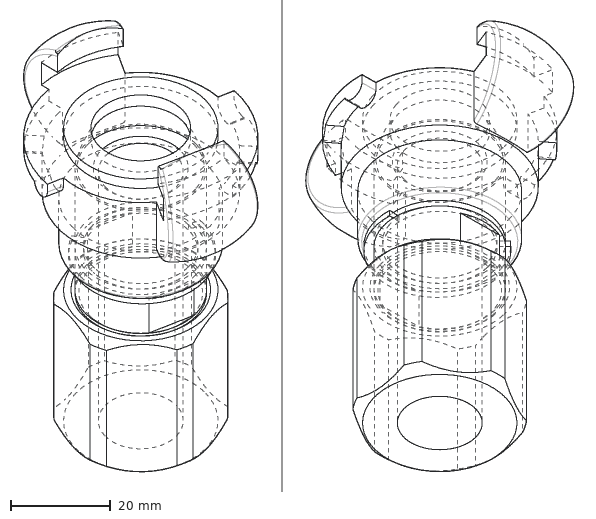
import cadquery as cq
import math

NUT_TOP = 35.0
FLAT_TOP = 44.0
HEAD_BOTTOM = 46.75
HEAD_WIDE_BOTTOM = 60.9
STEM_TOP = 67.6
FLANGE_TOP = 75.7
BOSS_TOP = 78.2
CLAW_TOP = 87.7

BORE_D = 17.0
BORE_MOUTH_D = 19.0
STEM_D = 26.4
FLAT_HALF_WIDTH = 12.1
NUT_ACROSS_FLATS = 32.0
NUT_TURNED_D = 35.0
NUT_END_D = 31.0
NUT_MOUTH_D = 28.0

RING_THICKNESS = 1.4
RING_BOTTOM = HEAD_BOTTOM - RING_THICKNESS
GROOVE_D = 23.0
RING_D = 29.5
RING_OFFSET = 1.3
OPENING_DIRECTION = 160.0
OPENING_HALF_ANGLE = 67.0

NECK_D = 32.9
NECK_EDGE_RADIUS = 0.8
FLANGE_D = 39.55
SHOULDER_DROP = 1.1
BOSS_D = 31.0
LIP_BORE_D = 20.0
LIP_BOTTOM = 75.25
CAVITY_D = 25.5

LUG_D = 47.0
LUG_THICKNESS = 3.1
BUMP_RADIUS = 2.6
LUG_DROP = 4.7
BUMP_ANGLES = (0.0, 35.0)

CLAW_REACH = 31.5
CLAW_RADIUS = 13.4
CLAW_CROWN_RADIUS = 21.9
CLAW_TAPER = 17.0
CLAW_HALF_WIDTH_AT_AXIS = 1.7
CLAW_EDGE_RADIUS = 0.9
CLAW_TIP_INNER_RADIUS = 21.1
CLAW_TIP_BOTTOM = 81.65
CLAW_SLOT_RADIUS = 25.5
TIP_ARCH_HALF_WIDTH = 7.5
TIP_ARCH_SIDE_Z = 86.4


def disk(diameter, bottom, top):
    return cq.Workplane("XY").workplane(offset=bottom).circle(diameter / 2).extrude(top - bottom)


def cone(bottom_diameter, top_diameter, bottom, top):
    return cq.Workplane(
        cq.Solid.makeCone(
            bottom_diameter / 2, top_diameter / 2, top - bottom, cq.Vector(0, 0, bottom)
        )
    )


def make_nut_blank():
    """Hexagon with turned corners and a bevel at both ends."""
    hexagon_d = NUT_ACROSS_FLATS / math.cos(math.pi / 6)
    hexagon = cq.Workplane("XY").polygon(6, hexagon_d).extrude(NUT_TOP)
    bevel = (NUT_TURNED_D - NUT_END_D) / 2
    turned = disk(NUT_TURNED_D, 0, NUT_TOP).edges().chamfer(bevel)
    return hexagon.intersect(turned)


def make_foot_recess():
    """Conical ring-shaped recess between the stem foot and the nut."""
    depth = (NUT_MOUTH_D - STEM_D) / 2
    mouth = cone(STEM_D, NUT_MOUTH_D, NUT_TOP - depth, NUT_TOP)
    stem_foot = cone(STEM_D - 2 * depth, STEM_D, NUT_TOP - depth, NUT_TOP)
    return mouth.cut(stem_foot)


def make_stem():
    """Turned stem with two wrench flats, a ring groove and the nut at its foot."""
    shaft = disk(STEM_D, 0, STEM_TOP)
    flat_depth = STEM_D / 2 - FLAT_HALF_WIDTH
    for side in (-1, 1):
        shaft = shaft.cut(
            cq.Workplane("XY")
            .box(flat_depth, STEM_D, FLAT_TOP - NUT_TOP, centered=(True, True, False))
            .translate((side * (FLAT_HALF_WIDTH + flat_depth / 2), 0, NUT_TOP))
        )
    groove = disk(STEM_D, RING_BOTTOM, HEAD_BOTTOM).cut(disk(GROOVE_D, RING_BOTTOM, HEAD_BOTTOM))
    stem = shaft.cut(groove).union(make_nut_blank()).cut(make_foot_recess())
    bore = disk(BORE_D, 0, STEM_TOP)
    mouth_depth = (BORE_MOUTH_D - BORE_D) / 2
    bore_mouth = cone(BORE_D, BORE_MOUTH_D, STEM_TOP - mouth_depth, STEM_TOP)
    return stem.cut(bore).cut(bore_mouth)


def make_retaining_ring():
    """Open ring with an eccentric rim."""
    direction = math.radians(OPENING_DIRECTION)
    rim_center = (-RING_OFFSET * math.cos(direction), -RING_OFFSET * math.sin(direction), 0)
    rim = disk(RING_D, RING_BOTTOM, HEAD_BOTTOM).translate(rim_center)
    half_angle = math.radians(OPENING_HALF_ANGLE)
    corner = (RING_D * math.cos(half_angle), RING_D * math.sin(half_angle))
    opening = (
        cq.Workplane("XY")
        .workplane(offset=RING_BOTTOM)
        .polyline([(0, 0), (corner[0], -corner[1]), (RING_D, -corner[1]), (RING_D, corner[1]), corner])
        .close()
        .extrude(RING_THICKNESS)
        .rotate((0, 0, 0), (0, 0, 1), OPENING_DIRECTION)
    )
    return rim.cut(disk(GROOVE_D, RING_BOTTOM, HEAD_BOTTOM)).cut(opening)


def make_tip_arch():
    """Round bar along X whose top trims the claw tip to a shallow arch."""
    rise = CLAW_TOP - TIP_ARCH_SIDE_Z
    radius = (TIP_ARCH_HALF_WIDTH**2 + rise**2) / (2 * rise)
    return cq.Workplane("YZ").center(0, CLAW_TOP - radius).circle(radius).extrude(CLAW_REACH)


def make_claw():
    """Claw on the +X side: a crowned barrel cut to a tapered wedge."""
    center_x = CLAW_REACH - CLAW_RADIUS
    tip_offset = CLAW_TIP_INNER_RADIUS - center_x
    center_z = CLAW_TOP - math.sqrt(CLAW_RADIUS**2 - tip_offset**2)
    half_width = CLAW_HALF_WIDTH_AT_AXIS + CLAW_REACH * math.tan(math.radians(CLAW_TAPER))
    crown_drop = CLAW_CROWN_RADIUS - math.sqrt(CLAW_CROWN_RADIUS**2 - half_width**2)
    end_radius = CLAW_RADIUS - crown_drop
    barrel = (
        cq.Workplane("XY")
        .moveTo(0, -half_width)
        .lineTo(-end_radius, -half_width)
        .threePointArc((-CLAW_RADIUS, 0), (-end_radius, half_width))
        .lineTo(0, half_width)
        .close()
        .revolve(360, (0, 0, 0), (0, 1, 0))
        .translate((center_x, 0, center_z))
    )
    wedge = (
        cq.Workplane("XY")
        .polyline([
            (0, -CLAW_HALF_WIDTH_AT_AXIS),
            (CLAW_REACH, -half_width),
            (CLAW_REACH, half_width),
            (0, CLAW_HALF_WIDTH_AT_AXIS),
        ])
        .close()
        .extrude(CLAW_TOP + CLAW_RADIUS)
    )
    claw = barrel.intersect(wedge).edges().fillet(CLAW_EDGE_RADIUS)
    slot = disk(2 * CLAW_SLOT_RADIUS, FLANGE_TOP, CLAW_TIP_BOTTOM)
    tip_inside = disk(2 * CLAW_TIP_INNER_RADIUS, CLAW_TIP_BOTTOM, CLAW_TOP + CLAW_RADIUS)
    return claw.cut(slot).cut(tip_inside).intersect(make_tip_arch())


def make_lug():
    """Lug on the -Y side, running from just past the Y axis to the claw on the -X side."""
    radius = LUG_D / 2
    lug = (
        cq.Workplane("XY")
        .box(radius, radius, LUG_THICKNESS, centered=False)
        .translate((-radius, -radius, FLANGE_TOP - LUG_THICKNESS))
    )
    bump_center_z = FLANGE_TOP - LUG_DROP + BUMP_RADIUS
    for angle in BUMP_ANGLES:
        bump = (
            cq.Workplane("XZ")
            .moveTo(-BUMP_RADIUS, FLANGE_TOP)
            .lineTo(-BUMP_RADIUS, bump_center_z)
            .threePointArc((0, bump_center_z - BUMP_RADIUS), (BUMP_RADIUS, bump_center_z))
            .lineTo(BUMP_RADIUS, FLANGE_TOP)
            .close()
            .extrude(LUG_D)
            .rotate((0, 0, 0), (0, 0, 1), -angle)
        )
        lug = lug.union(bump)
    return lug.intersect(disk(LUG_D, FLANGE_TOP - LUG_DROP, FLANGE_TOP))


def make_cavity():
    """Room for the stem, closed above by a dome that ends at the lip bore."""
    stem_room = disk(STEM_D, HEAD_BOTTOM, STEM_TOP)
    lip_radius = LIP_BORE_D / 2
    cavity_radius = CAVITY_D / 2
    narrowing = cavity_radius - lip_radius
    dome_height = LIP_BOTTOM - STEM_TOP
    dome_radius = (narrowing**2 + dome_height**2) / (2 * narrowing)
    middle_z = dome_height / 2
    middle_radius = cavity_radius - dome_radius + math.sqrt(dome_radius**2 - middle_z**2)
    dome = (
        cq.Workplane("XZ")
        .moveTo(0, STEM_TOP)
        .lineTo(cavity_radius, STEM_TOP)
        .threePointArc((middle_radius, STEM_TOP + middle_z), (lip_radius, LIP_BOTTOM))
        .lineTo(lip_radius, BOSS_TOP)
        .lineTo(0, BOSS_TOP)
        .close()
        .revolve(360, (0, 0, 0), (0, 1, 0))
    )
    return stem_room.union(dome)


def make_claw_head():
    """Coupling head with boss, flange, two claws and two lugs."""
    neck = disk(NECK_D, HEAD_BOTTOM, FLANGE_TOP).faces("<Z").edges().fillet(NECK_EDGE_RADIUS)
    shoulder = cone(NECK_D, FLANGE_D, HEAD_WIDE_BOTTOM - SHOULDER_DROP, HEAD_WIDE_BOTTOM)
    flange = disk(FLANGE_D, HEAD_WIDE_BOTTOM, FLANGE_TOP)
    boss = disk(BOSS_D, FLANGE_TOP, BOSS_TOP)
    head = neck.union(shoulder).union(flange).union(boss)
    claw = make_claw()
    lug = make_lug()
    for turn in (0, 180):
        head = head.union(claw.rotate((0, 0, 0), (0, 0, 1), turn))
        head = head.union(lug.rotate((0, 0, 0), (0, 0, 1), turn))
    return head.cut(make_cavity())


stem = make_stem()
retaining_ring = make_retaining_ring()
claw_head = make_claw_head()

result = cq.Compound.makeCompound([
    stem.solids().val(),
    retaining_ring.solids().val(),
    claw_head.solids().val(),
])